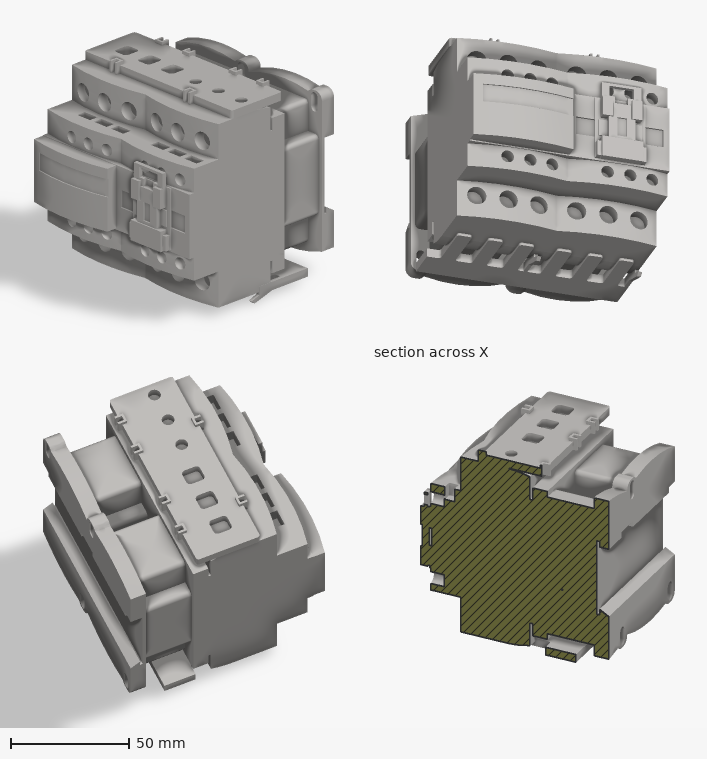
import cadquery as cq


MODULE_WIDTH = 44.6
MODULE_STARTS = (-MODULE_WIDTH, 0)
POLES = 3
BOW = 2.5

PLATE_DEPTH = 7.1
PLATE_EDGE_HEIGHT = 34.5
PLATE_PEAK_HEIGHT = 38.4
EAR_RADIUS = 3.7
EAR_FLAT_WIDTH = 5.8
EAR_FOOT_WIDTH = 9.2
EAR_FOOT_DROP = 1.6
SLOT_WIDTH = 4.0
SLOT_LENGTH = 8.8
SLOT_FROM_EDGE = 4.6
SLOT_HEIGHT = 33.0
RAIL_DEPTH = 5.6
RAIL_LIP_DEPTH = 4.4
RAIL_HALF_HEIGHT = 17.5
RAIL_LIP_DROP = 2.7
RAIL_LIP_INSET = 5.5
RAIL_HOOK_RISE = 2.5

COIL_FRONT = -29.1
COIL_CENTRE = 22.2
COIL_WIDE = (40.5, 37.1)
COIL_TALL = (27.9, 66.0)
COIL_ROUND = 2.0
FRAME_STEPS = ((COIL_FRONT, -36.1, 35.7), (-36.1, -42.3, 29.9))

BODY_BACK = -37.3
BODY_HALF_HEIGHT = 42.2
BODY_SHOULDER_DROP = 1.5
BODY_SHOULDER_END = -47.8
TERMINAL_FRONT = -67.9
CONTROL_FRONT = -82.2
CONTROL_TOP = 26.0
CONTROL_BOTTOM = -25.5
FACE_FRONT = -85.0
FACE_HALF_HEIGHT = 14.85

MAIN_HOLE_DIAMETER = 8.2
MAIN_HOLE_DEPTH = 3.4
MAIN_HOLE_HEIGHTS = (32.4, -32.1)
MAIN_PITCH = 13.9
MAIN_HOLE_XS = tuple(MODULE_WIDTH / 2 + i * MAIN_PITCH for i in (-1, 0, 1))
CONTROL_HOLE_DIAMETER = 5.5
CONTROL_HOLE_DEPTH = 4.0
CONTROL_HOLE_HEIGHTS = (19.1, -19.4)
CONTROL_PITCH = 10.15
CONTROL_HOLE_FIRST_X = 17.1
CONTROL_HOLE_XS = tuple(CONTROL_HOLE_FIRST_X + i * CONTROL_PITCH for i in range(POLES))
WIRE_POCKET_WIDTH = 7.7
WIRE_POCKET_BACK = -73.2
WIRE_POCKET_FRONT = -77.6
WIRE_POCKET_DEPTH = 6.0

COVER_EDGE_FRONT = -90.23
COVER_TOP = 14.6
COVER_BOTTOM = -14.3
LABEL_LEFT = -40.7
LABEL_TOP = 9.8
LABEL_BOTTOM = 1.5
LABEL_DEPTH = 0.65

LINK_LEFT = -45.1
LINK_RIGHT = 44.72
LINK_ROUND = 1.3
COVER_PLATE_BACK = -30.6
COVER_PLATE_FRONT = -60.1
COVER_PLATE_TOP = 46.1
SCREW_HOLE_DIAMETER = 5.4
SCREW_HOLE_Y = -49.2
SCREW_HOLE_FIRST_X = 11.3
KEY_HOLE_WIDTH = 7.5
KEY_HOLE_LENGTH = 8.3
KEY_HOLE_ROUND = 1.8
KEY_HOLE_Y = -47.15
KEY_HOLE_FIRST_X = -32.8

CLIP_TOP = 47.7
CLIP_WIDTH = 4.2
CLIP_LENGTH = 4.0
CLIP_WALL = 1.0
REAR_CLIP_Y = -28.75
REAR_CLIP_XS = (-28.3, -11.9, 16.5, 33.0)
FRONT_CLIP_Y = -62.1
FRONT_CLIP_XS = (-25.6, 19.0)

BAR_TOP = -39.5
BAR_BOTTOM = -43.4
BAR_BACK = -15.5
BAR_FRONT = -30.0
FINGER_TIP = -52.9
FINGER_WIDTH = 6.5
FINGER_FIRST_X = 8.75
HOOK_WIDTH = 1.75
HOOK_RIGHTS = (-0.3, LINK_RIGHT)
HOOK_ARM_TIP = -44.0
HOOK_OUTLINE = ((-36.3, BAR_BOTTOM), (HOOK_ARM_TIP, BAR_BOTTOM), (-48.6, -45.1), (-46.8, -46.5))

LOCK_CENTRE = 22.3
LOCK_BASE_FRONT = -85.8
LOCK_WING_FRONT = -86.4
LOCK_FLANGE_FRONT = -87.7
LOCK_TAB_FRONT = -88.1
LOCK_RECESS_FRONT = -88.5
LOCK_FRONT = -89.2
LOCK_BASE_WIDTH = 22.5
LOCK_BASE_TOP = 14.5
LOCK_BASE_BOTTOM = -13.9
HANDLE_WIDTH = 17.6
HANDLE_TOP = 21.1
HANDLE_BOTTOM = 5.1
HANDLE_WINDOW_WIDTH = 11.0
HANDLE_WINDOW_TOP = 19.9
HANDLE_WINDOW_BOTTOM = 15.2
HANDLE_NOTCH_WIDTH = 5.8
CHEEK_GAP = 8.8
CHEEK_TOP = 14.1
LATCH_WIDTH = 8.0
LATCH_TOP = 11.7
STEM_WIDTH = 12.0
STEM_SLOT_WIDTH = 4.1
STEM_SLOT_BOTTOM = -3.5
WING_SPAN = 19.2
WING_TOP = 4.0
WING_BOTTOM = -3.5
FOOT_WIDTH = 18.3
FOOT_TOP = -5.0
FOOT_BOTTOM = -14.4
TAB_SPAN = 22.0
TAB_TOP = -7.0
WINDOW_WIDTH = 39.0
WINDOW_TOP = 4.3
WINDOW_BOTTOM = -3.9
WINDOW_DEPTH = 0.9


def box(x0, x1, y0, y1, z0, z1):
    """Box between two opposite corners given as coordinate pairs."""
    size = (abs(x1 - x0), abs(y1 - y0), abs(z1 - z0))
    return cq.Workplane("XY").box(*size).translate(((x0 + x1) / 2, (y0 + y1) / 2, (z0 + z1) / 2))


def centred_box(centre_x, width, y0, y1, z0, z1):
    return box(centre_x - width / 2, centre_x + width / 2, y0, y1, z0, z1)


def side_prism(points, x0, x1):
    """Polygon of (y, z) points swept along X."""
    return cq.Workplane("YZ").polyline(points).close().extrude(x1 - x0).translate((x0, 0, 0))


def bowed_block(x0, x1, back, front, z0, z1):
    """Block whose front face swells by BOW at the middle."""
    outline = (
        cq.Workplane("XY")
        .moveTo(x0, back)
        .lineTo(x0, front)
        .threePointArc(((x0 + x1) / 2, front - BOW), (x1, front))
        .lineTo(x1, back)
        .close()
    )
    return outline.extrude(z1 - z0).translate((0, 0, z0))


def front_hole(x, z, front, depth, diameter):
    """Blind hole going in from the front; depth counts from the edges of the curved face."""
    length = depth + BOW
    pin = cq.Workplane("XZ").circle(diameter / 2).extrude(length)
    return pin.translate((x, front + depth, z))


def plate_ear():
    """Rounded lug at the top right corner of the plate, with a concave foot."""
    foot = MODULE_WIDTH - EAR_FOOT_WIDTH
    foot_height = PLATE_PEAK_HEIGHT - EAR_FOOT_DROP
    flat_left = MODULE_WIDTH - EAR_FLAT_WIDTH
    flat_right = MODULE_WIDTH - EAR_RADIUS
    corner = EAR_RADIUS * (1 - 0.5 ** 0.5)
    outline = (
        cq.Workplane("XZ")
        .moveTo(foot, 0)
        .lineTo(foot, foot_height)
        .spline([(flat_left, PLATE_PEAK_HEIGHT)], tangents=[(1, 0), (1, 0)], includeCurrent=True)
        .lineTo(flat_right, PLATE_PEAK_HEIGHT)
        .threePointArc(
            (MODULE_WIDTH - corner, PLATE_PEAK_HEIGHT - corner),
            (MODULE_WIDTH, PLATE_PEAK_HEIGHT - EAR_RADIUS),
        )
        .lineTo(MODULE_WIDTH, 0)
        .close()
    )
    return outline.extrude(PLATE_DEPTH)


def half_turn(shape):
    """Turn a module feature upside down about the module's own Y-direction centre line."""
    middle = MODULE_WIDTH / 2
    return shape.rotate((middle, 0, 0), (middle, 1, 0), 180)


def mounting_plate():
    middle = MODULE_WIDTH / 2
    plate = (
        cq.Workplane("XZ")
        .moveTo(0, -PLATE_EDGE_HEIGHT)
        .lineTo(0, PLATE_EDGE_HEIGHT)
        .threePointArc((middle, PLATE_PEAK_HEIGHT), (MODULE_WIDTH, PLATE_EDGE_HEIGHT))
        .lineTo(MODULE_WIDTH, -PLATE_EDGE_HEIGHT)
        .threePointArc((middle, -PLATE_PEAK_HEIGHT), (0, -PLATE_EDGE_HEIGHT))
        .close()
        .extrude(PLATE_DEPTH)
    )
    slot = (
        cq.Workplane("XZ")
        .center(MODULE_WIDTH - SLOT_FROM_EDGE, SLOT_HEIGHT)
        .slot2D(SLOT_LENGTH, SLOT_WIDTH, 90)
        .extrude(PLATE_DEPTH)
    )
    ear = plate_ear()
    plate = plate.union(ear).union(half_turn(ear))
    plate = plate.cut(slot).cut(half_turn(slot))

    rail = box(0, MODULE_WIDTH, 0, -RAIL_DEPTH, -RAIL_HALF_HEIGHT, RAIL_HALF_HEIGHT)
    lip = box(
        RAIL_LIP_INSET, MODULE_WIDTH - RAIL_LIP_INSET,
        0, -RAIL_LIP_DEPTH,
        RAIL_HALF_HEIGHT - RAIL_LIP_DROP, RAIL_HALF_HEIGHT,
    )
    hook_points = [
        (0, -RAIL_HALF_HEIGHT),
        (-RAIL_LIP_DEPTH, -RAIL_HALF_HEIGHT),
        (-RAIL_LIP_DEPTH, -RAIL_HALF_HEIGHT + RAIL_HOOK_RISE),
    ]
    hook = side_prism(hook_points, 0, MODULE_WIDTH)
    return plate.cut(rail).union(lip).union(hook)


def coil_block(width, height):
    block = centred_box(
        COIL_CENTRE, width, -PLATE_DEPTH, COIL_FRONT, -height / 2, height / 2
    )
    return block.edges("|Y").fillet(COIL_ROUND)


def coil_housing():
    return coil_block(*COIL_WIDE).union(coil_block(*COIL_TALL))


def frame():
    rim, tongue = [
        box(0, MODULE_WIDTH, back, front, -half_height, half_height)
        for back, front, half_height in FRAME_STEPS
    ]
    return rim.union(tongue)


def body_shoulder():
    """Sliver removed above the rounded rear shoulder at the top of the body."""
    run = BODY_BACK - BODY_SHOULDER_END
    quarter_drop = BODY_SHOULDER_DROP / 4
    sliver = (
        cq.Workplane("YZ")
        .moveTo(BODY_SHOULDER_END, BODY_HALF_HEIGHT)
        .threePointArc(
            (BODY_SHOULDER_END + run / 2, BODY_HALF_HEIGHT - quarter_drop),
            (BODY_BACK, BODY_HALF_HEIGHT - BODY_SHOULDER_DROP),
        )
        .lineTo(BODY_BACK, BODY_HALF_HEIGHT)
        .close()
    )
    return sliver.extrude(MODULE_WIDTH)


def terminal_body():
    body = bowed_block(0, MODULE_WIDTH, BODY_BACK, TERMINAL_FRONT, -BODY_HALF_HEIGHT, BODY_HALF_HEIGHT)
    control = bowed_block(0, MODULE_WIDTH, BODY_BACK, CONTROL_FRONT, CONTROL_BOTTOM, CONTROL_TOP)
    face = box(0, MODULE_WIDTH, BODY_BACK, FACE_FRONT, -FACE_HALF_HEIGHT, FACE_HALF_HEIGHT)
    body = body.union(control).union(face)

    shoulder = body_shoulder()
    body = body.cut(shoulder).cut(shoulder.mirror("XY"))

    for z in MAIN_HOLE_HEIGHTS:
        for x in MAIN_HOLE_XS:
            body = body.cut(front_hole(x, z, TERMINAL_FRONT, MAIN_HOLE_DEPTH, MAIN_HOLE_DIAMETER))
    for z in CONTROL_HOLE_HEIGHTS:
        for x in CONTROL_HOLE_XS:
            body = body.cut(front_hole(x, z, CONTROL_FRONT, CONTROL_HOLE_DEPTH, CONTROL_HOLE_DIAMETER))
    for x in CONTROL_HOLE_XS:
        body = body.cut(
            centred_box(
                x, WIRE_POCKET_WIDTH, WIRE_POCKET_BACK, WIRE_POCKET_FRONT,
                CONTROL_TOP - WIRE_POCKET_DEPTH, CONTROL_TOP,
            )
        )
    return body


def contactor_module():
    return mounting_plate().union(coil_housing()).union(frame()).union(terminal_body())


def front_cover():
    """Curved cover over the left module, with a shallow label recess following the curve."""
    left = -MODULE_WIDTH
    cover = bowed_block(left, 0, FACE_FRONT, COVER_EDGE_FRONT, COVER_BOTTOM, COVER_TOP)
    skin = bowed_block(left, 0, FACE_FRONT, COVER_EDGE_FRONT, LABEL_BOTTOM, LABEL_TOP)
    core = skin.translate((0, LABEL_DEPTH, 0))
    label_area = box(LABEL_LEFT, 0, FACE_FRONT, COVER_EDGE_FRONT - BOW, LABEL_BOTTOM, LABEL_TOP)
    return cover.cut(skin.cut(core).intersect(label_area))


def clip(x, open_end, towards):
    """U-shaped clip; towards is the Y direction from its open end to its closed end."""
    closed_end = open_end + towards * CLIP_LENGTH
    block = centred_box(x, CLIP_WIDTH, open_end, closed_end, BODY_HALF_HEIGHT, CLIP_TOP)
    gap = centred_box(
        x, CLIP_WIDTH - 2 * CLIP_WALL,
        open_end, closed_end - towards * CLIP_WALL,
        BODY_HALF_HEIGHT, CLIP_TOP,
    )
    return block, gap


def cover_plate():
    plate = box(
        LINK_LEFT, LINK_RIGHT, COVER_PLATE_BACK, COVER_PLATE_FRONT, BODY_HALF_HEIGHT, COVER_PLATE_TOP
    )
    plate = plate.edges("|Z").fillet(LINK_ROUND)
    thickness = COVER_PLATE_TOP - BODY_HALF_HEIGHT
    for i in range(POLES):
        screw_hole = cq.Workplane("XY").circle(SCREW_HOLE_DIAMETER / 2).extrude(thickness)
        screw_x = SCREW_HOLE_FIRST_X + i * MAIN_PITCH
        plate = plate.cut(screw_hole.translate((screw_x, SCREW_HOLE_Y, BODY_HALF_HEIGHT)))
        key_hole = cq.Workplane("XY").rect(KEY_HOLE_WIDTH, KEY_HOLE_LENGTH).extrude(thickness)
        key_hole = key_hole.edges("|Z").fillet(KEY_HOLE_ROUND)
        key_x = KEY_HOLE_FIRST_X + i * MAIN_PITCH
        plate = plate.cut(key_hole.translate((key_x, KEY_HOLE_Y, BODY_HALF_HEIGHT)))

    clips = [clip(x, REAR_CLIP_Y, -1) for x in REAR_CLIP_XS]
    clips += [clip(x, FRONT_CLIP_Y, 1) for x in FRONT_CLIP_XS]
    for block, gap in clips:
        plate = plate.union(block).cut(gap)
    return plate


def bottom_bar():
    """Link bar under the modules, with one finger per pole and two slanted hooks."""
    bar = box(LINK_LEFT, LINK_RIGHT, BAR_BACK, BAR_FRONT, BAR_BOTTOM, BAR_TOP)
    for start in MODULE_STARTS:
        for i in range(POLES):
            finger_x = start + FINGER_FIRST_X + i * MAIN_PITCH
            finger = centred_box(finger_x, FINGER_WIDTH, BAR_BACK, FINGER_TIP, BAR_BOTTOM, BAR_TOP)
            bar = bar.union(finger.edges("|Z and <Y").fillet(LINK_ROUND))
    inner_corners = cq.selectors.BoxSelector(
        (LINK_LEFT + LINK_ROUND, BAR_FRONT - LINK_ROUND, BAR_BOTTOM),
        (LINK_RIGHT - LINK_ROUND, BAR_FRONT + LINK_ROUND, BAR_TOP),
    )
    bar = bar.edges("|Z").edges(inner_corners).fillet(LINK_ROUND)
    for right in HOOK_RIGHTS:
        left = right - HOOK_WIDTH
        arm = box(left, right, BAR_FRONT, HOOK_ARM_TIP, BAR_BOTTOM, BAR_TOP)
        bar = bar.union(arm).union(side_prism(HOOK_OUTLINE, left, right))
    return bar


def interlock():
    """Mechanical interlock on the right module, built from stacked blocks."""

    def block(width, back, front, z0, z1):
        return centred_box(LOCK_CENTRE, width, back, front, z0, z1)

    def block_pair(gap, span, back, front, z0, z1):
        return block(span, back, front, z0, z1).cut(block(gap, back, front, z0, z1))

    back = LOCK_BASE_FRONT
    flange = LOCK_FLANGE_FRONT
    recess = LOCK_RECESS_FRONT

    base = block(LOCK_BASE_WIDTH, FACE_FRONT, back, LOCK_BASE_BOTTOM, LOCK_BASE_TOP)

    handle = block(HANDLE_WIDTH, back, flange, HANDLE_BOTTOM, HANDLE_TOP)
    handle = handle.cut(block(HANDLE_WINDOW_WIDTH, back, flange, HANDLE_WINDOW_BOTTOM, HANDLE_WINDOW_TOP))
    handle = handle.cut(block(HANDLE_NOTCH_WIDTH, back, flange, LATCH_TOP, HANDLE_WINDOW_BOTTOM))
    cheeks = block_pair(CHEEK_GAP, HANDLE_WIDTH, back, LOCK_FRONT, HANDLE_BOTTOM, CHEEK_TOP)
    latch = block(LATCH_WIDTH, back, recess, HANDLE_BOTTOM, LATCH_TOP)

    stem = block(STEM_WIDTH, back, recess, FOOT_TOP, HANDLE_BOTTOM)
    stem = stem.cut(block(STEM_SLOT_WIDTH, flange, recess, STEM_SLOT_BOTTOM, HANDLE_BOTTOM))
    wings = block_pair(STEM_WIDTH, WING_SPAN, back, LOCK_WING_FRONT, WING_BOTTOM, WING_TOP)

    foot = block(FOOT_WIDTH, back, LOCK_FRONT, FOOT_BOTTOM, FOOT_TOP)
    tabs = block_pair(FOOT_WIDTH, TAB_SPAN, back, LOCK_TAB_FRONT, LOCK_BASE_BOTTOM, TAB_TOP)

    assembly = base
    for piece in (handle, cheeks, latch, stem, wings, foot, tabs):
        assembly = assembly.union(piece)
    return assembly


def face_window():
    return centred_box(
        LOCK_CENTRE, WINDOW_WIDTH, FACE_FRONT, FACE_FRONT + WINDOW_DEPTH, WINDOW_BOTTOM, WINDOW_TOP
    )


module = contactor_module()
modules = [module.translate((start, 0, 0)) for start in MODULE_STARTS]
pair = modules[0].union(modules[1]).cut(face_window())

result = pair
for part in (front_cover(), cover_plate(), bottom_bar(), interlock()):
    result = result.union(part)